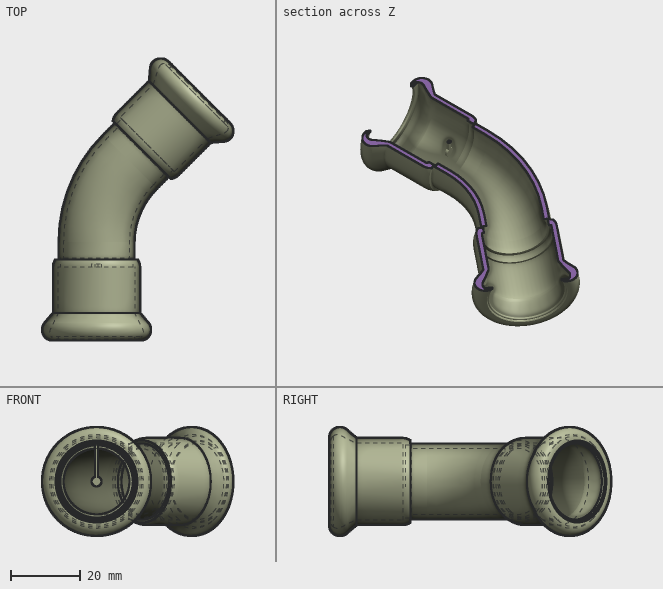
import cadquery as cq
import math

bend_angle = 45.0
bend_radius = 32.9
leg_length = 28.4
pipe_radius = 22.0 / 2
pipe_bore_radius = 19.0 / 2

socket_radius = 25.3 / 2
bead_diameter = 31.6
bead_radius = bead_diameter / 2 - socket_radius
cone_tangent_angle = 38.0
cone_depth = 8.0
round_depth = 21.05
shoulder_depth = 23.5
shoulder_radius = 11.9

socket_bore_radius = 22.2 / 2
lip_radius = 23.2 / 2
lip_thickness = 0.5
lip_chamfer = 0.25
groove_round_radius = 1.95
throat_radius = 21.0 / 2
shelf_depth = 21.3
stop_depth = 23.8
groove_end_depth = 8.1
groove_blend = 1.0
groove_blend_rise = 0.3

seal_inner_radius = 11.0
seal_thickness = 0.7

disc_diameter = 2.85
stem_width = 1.0
disc_thickness = 0.8


def at_far_end(shape):
    """Mirror a shape from the first leg onto the second leg."""
    half = math.radians(bend_angle / 2)
    mirror_normal = cq.Vector(math.sin(half), math.cos(half), 0)
    return shape.mirror(mirror_normal, (bend_radius, leg_length, 0))


def revolve_about_leg(profile):
    return profile.revolve(360, (0, 0, 0), (0, 1, 0))


def bent_pipe(radius):
    return (
        cq.Workplane("XZ", origin=(0, leg_length, 0))
        .circle(radius)
        .revolve(bend_angle, (bend_radius, 0, 0), (bend_radius, -1, 0))
    )


def socket_outside():
    tangent = math.radians(cone_tangent_angle)
    cone_start = (
        socket_radius + bead_radius * math.cos(tangent),
        bead_radius * (1 + math.sin(tangent)),
    )
    return revolve_about_leg(
        cq.Workplane("XY")
        .lineTo(socket_radius, 0)
        .threePointArc((socket_radius + bead_radius, bead_radius), cone_start)
        .lineTo(socket_radius, cone_depth)
        .lineTo(socket_radius, round_depth)
        .tangentArcPoint((shoulder_radius, shoulder_depth), relative=False)
        .lineTo(pipe_radius, shoulder_depth)
        .lineTo(pipe_radius, leg_length)
        .lineTo(0, leg_length)
        .close()
    )


def socket_inside():
    blend_start = (socket_bore_radius + groove_blend_rise, groove_end_depth - groove_blend)
    round_centre_depth = lip_thickness + groove_round_radius
    to_blend = (blend_start[0] - lip_radius, blend_start[1] - round_centre_depth)
    contact_angle = math.atan2(to_blend[1], to_blend[0]) - math.acos(
        groove_round_radius / math.hypot(*to_blend)
    )
    middle_angle = (contact_angle - math.pi / 2) / 2

    def on_round(angle):
        return (
            lip_radius + groove_round_radius * math.cos(angle),
            round_centre_depth + groove_round_radius * math.sin(angle),
        )

    return revolve_about_leg(
        cq.Workplane("XY")
        .lineTo(lip_radius + lip_chamfer, 0)
        .lineTo(lip_radius, lip_chamfer)
        .lineTo(lip_radius, lip_thickness)
        .threePointArc(on_round(middle_angle), on_round(contact_angle))
        .lineTo(*blend_start)
        .tangentArcPoint((socket_bore_radius, groove_end_depth), relative=False)
        .lineTo(socket_bore_radius, shelf_depth)
        .lineTo(throat_radius, shelf_depth)
        .lineTo(throat_radius, stop_depth)
        .lineTo(pipe_bore_radius, stop_depth)
        .lineTo(pipe_bore_radius, leg_length)
        .lineTo(0, leg_length)
        .close()
    )


def disc_on_stem():
    stem_top = (throat_radius + socket_bore_radius) / 2
    face = cq.Workplane("XZ", origin=(0, shelf_depth, 0))
    disc = face.circle(disc_diameter / 2).extrude(-disc_thickness)
    stem = face.center(0, stem_top / 2).rect(stem_width, stem_top).extrude(-disc_thickness)
    return disc.union(stem)


def make_fitting():
    outside = socket_outside()
    inside = socket_inside()
    solid = outside.union(bent_pipe(pipe_radius)).union(at_far_end(outside))
    hollow = inside.union(bent_pipe(pipe_bore_radius)).union(at_far_end(inside))
    return solid.cut(hollow).union(disc_on_stem())


def make_seal():
    nose_radius = seal_thickness / 2
    nose_centre = seal_inner_radius + nose_radius
    rim_radius = lip_radius + groove_round_radius
    back_depth = lip_thickness + seal_thickness
    ring = revolve_about_leg(
        cq.Workplane("XY")
        .moveTo(rim_radius, lip_thickness)
        .lineTo(nose_centre, lip_thickness)
        .threePointArc((seal_inner_radius, lip_thickness + nose_radius), (nose_centre, back_depth))
        .lineTo(rim_radius, back_depth)
        .close()
    )
    return ring.intersect(socket_inside())


fitting = make_fitting()
near_seal = make_seal()
seals = [seal.val() for seal in (near_seal, at_far_end(near_seal))]

result = cq.Compound.makeCompound([fitting.val(), *seals])